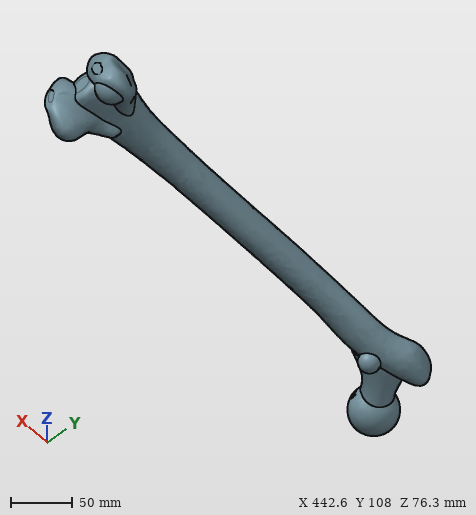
import cadquery as cq
import math


LENGTH = 442.5
OUTLINE_POINTS = 8

SHAFT_SECTIONS = [
    (14.5, 74.0, 30.5, 2.0, 3.5),
    (17.0, 74.0, 30.5, 6.0, 10.5),
    (22.0, 74.5, 30.5, 10.0, 16.0),
    (32.7, 74.5, 31.5, 13.5, 19.0),
    (44.2, 72.5, 30.0, 16.5, 18.0),
    (62.0, 68.5, 29.5, 16.0, 16.5),
    (88.5, 66.0, 32.7, 16.5, 15.0),
    (119.5, 65.5, 38.5, 15.0, 15.5),
    (155.0, 65.0, 43.0, 14.0, 17.0),
    (221.0, 64.5, 47.0, 13.5, 17.5),
    (287.5, 64.0, 50.0, 14.5, 17.0),
    (331.5, 64.0, 51.5, 17.0, 16.5),
    (362.5, 65.0, 51.0, 20.0, 17.0),
    (389.0, 67.2, 49.5, 24.8, 17.2),
    (411.5, 68.5, 44.5, 24.0, 17.2),
    (424.5, 68.5, 42.0, 17.5, 15.0),
    (428.0, 68.5, 41.5, 9.0, 7.5),
]
LATERAL_SECTIONS = [
    (362.5, 70.8, 50.0, 8.0, 7.0),
    (376.0, 74.0, 49.5, 9.5, 12.0),
    (389.0, 79.5, 49.5, 13.0, 19.5),
    (402.5, 86.5, 48.0, 14.0, 28.7),
    (415.7, 89.5, 46.0, 13.3, 32.5),
    (424.5, 90.2, 44.5, 13.3, 29.0),
    (431.0, 90.5, 41.5, 10.0, 21.0),
    (433.5, 91.0, 39.0, 4.5, 9.7),
]
MEDIAL_SECTIONS = [
    (358.2, 60.0, 48.5, 8.0, 7.0),
    (371.5, 59.0, 48.0, 9.7, 10.5),
    (389.0, 54.0, 45.5, 13.0, 17.5),
    (400.3, 50.0, 41.0, 14.5, 21.2),
    (409.0, 47.8, 34.5, 16.0, 28.5),
    (421.0, 47.0, 32.0, 16.0, 32.0),
    (432.0, 48.0, 32.7, 12.0, 28.5),
    (438.7, 48.0, 31.0, 8.5, 19.5),
    (LENGTH, 48.0, 30.5, 3.0, 7.5),
]
LATERAL_TILT = 25
MEDIAL_TILT = -2

LATERAL_BACK_RADIUS = 14.0
LATERAL_BACK_CENTER = cq.Vector(416.5, 92.0, 29.0)

HEAD_RADIUS = 21.5
HEAD_CENTER = cq.Vector(HEAD_RADIUS, HEAD_RADIUS, 25.0)

NECK_ROOT = cq.Vector(56.0, 67.2, 30.0)
NECK_SECTIONS = [
    (0.1, 17.0, 17.0),
    (0.4, 14.0, 16.0),
    (0.6, 17.0, 15.5),
    (0.8, 22.0, 15.5),
    (1.0, 28.7, 14.5),
]

LESSER_TROCHANTER_RADIUS = 9.7
LESSER_TROCHANTER_CENTER = cq.Vector(67.2, 58.5, 16.5)


def oval(center, across, along, half_width, half_height):
    """Closed oval around center; half_width lies on across, half_height on along."""
    points = []
    for i in range(OUTLINE_POINTS):
        angle = 2 * math.pi * i / OUTLINE_POINTS
        step = across * (half_width * math.cos(angle)) + along * (half_height * math.sin(angle))
        points.append(center + step)
    return cq.Wire.assembleEdges([cq.Edge.makeSpline(points, periodic=True)])


def smooth_body(ovals):
    return cq.Workplane(cq.Solid.makeLoft(ovals, False))


def lengthwise_body(sections, tilt=0):
    """Smooth body through ovals square to X; a positive tilt leans their front medially."""
    lean = math.radians(tilt)
    across = cq.Vector(0, math.cos(lean), math.sin(lean))
    along = cq.Vector(0, -math.sin(lean), math.cos(lean))
    return smooth_body([oval(cq.Vector(x, y, z), across, along, w, h) for x, y, z, w, h in sections])


def make_neck():
    """Waisted neck from the head, widening into the shaft."""
    path = NECK_ROOT - HEAD_CENTER
    up = cq.Vector(0, 0, 1)
    across = path.cross(up).normalized()
    return smooth_body([oval(HEAD_CENTER + path * s, across, up, w, h) for s, w, h in NECK_SECTIONS])


def ball(radius, center):
    return cq.Workplane().sphere(radius).translate(center)


shaft = lengthwise_body(SHAFT_SECTIONS)
lateral_condyle = lengthwise_body(LATERAL_SECTIONS, LATERAL_TILT)
lateral_back = ball(LATERAL_BACK_RADIUS, LATERAL_BACK_CENTER)
medial_condyle = lengthwise_body(MEDIAL_SECTIONS, MEDIAL_TILT)
head = ball(HEAD_RADIUS, HEAD_CENTER)
lesser_trochanter = ball(LESSER_TROCHANTER_RADIUS, LESSER_TROCHANTER_CENTER)

femur = shaft
for piece in (lateral_condyle, lateral_back, medial_condyle, make_neck(), head, lesser_trochanter):
    femur = femur.union(piece)

result = cq.Workplane(femur.solids().val())